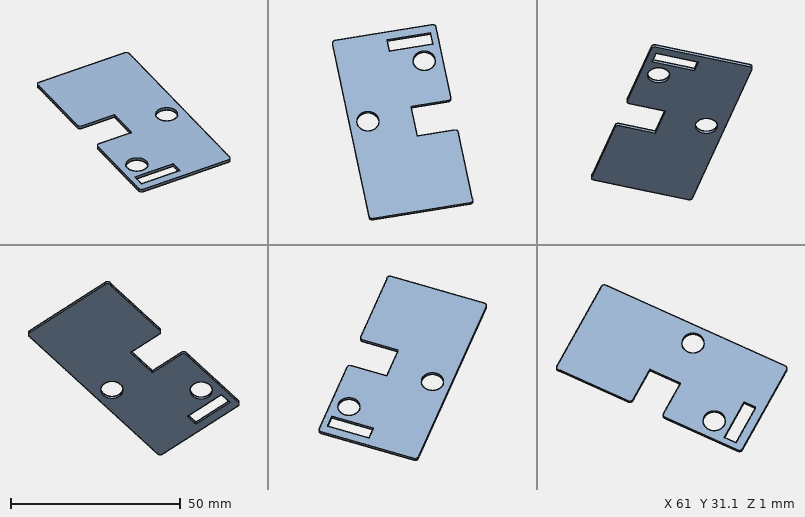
import cadquery as cq
import math

length = 61.0
width = 31.1
thickness = 1.0
corner_radius = 1.0

lip_end_x = 1.45
front_edge_y = corner_radius - math.sqrt(corner_radius**2 - (lip_end_x - corner_radius) ** 2)

notch_left = 24.95
notch_width = 10.05
notch_top = 12.2

hole_diameter = 6.5
hole_centers = [(32.45, 25.6), (49.5, 5.6)]
window_left = 54.55
window_bottom = 2.1
window_width = 3.85
window_height = 13.0


def box_from_corner(x, y, size_x, size_y):
    """Full-thickness block whose lower left corner is at (x, y)."""
    return cq.Workplane("XY").box(size_x, size_y, thickness, centered=False).translate((x, y, 0))


def make_plate():
    """Plate with a notch, three rounded outer corners and rounded notch mouth."""
    plate = box_from_corner(0, front_edge_y, length, width - front_edge_y)
    plate = plate.cut(box_from_corner(notch_left, front_edge_y, notch_width, notch_top - front_edge_y))
    rounded_corners = [
        (0, width),
        (length, width),
        (length, front_edge_y),
        (notch_left, front_edge_y),
        (notch_left + notch_width, front_edge_y),
    ]
    for x, y in rounded_corners:
        edge = cq.selectors.NearestToPointSelector((x, y, thickness / 2))
        plate = plate.edges("|Z").edges(edge).fillet(corner_radius)
    return plate


def round_lipped_corner(plate):
    """Replace the square lower left corner with an arc that dips past the front edge."""
    corner = box_from_corner(0, 0, corner_radius, corner_radius)
    disc = cq.Workplane("XY").center(corner_radius, corner_radius).circle(corner_radius).extrude(thickness)
    return plate.cut(corner).union(disc)


def cut_openings(plate):
    """Cut the two round holes and the window through the plate."""
    holes = cq.Workplane("XY").pushPoints(hole_centers).circle(hole_diameter / 2).extrude(thickness)
    window = box_from_corner(window_left, window_bottom, window_width, window_height)
    return plate.cut(holes).cut(window)


result = cut_openings(round_lipped_corner(make_plate()).clean())